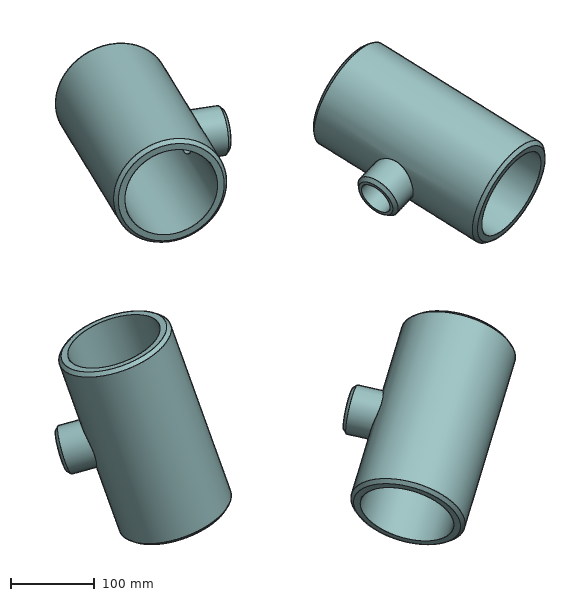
import cadquery as cq

run_length = 248.0
run_diameter = 141.3
run_bore = 115.8
branch_diameter = 60.5
branch_wall = 8.7
branch_reach = 104.5
bevel = 4.5

branch_bore = branch_diameter - 2 * branch_wall


def run_cylinder(diameter):
    """Cylinder along X, centred on the origin."""
    return cq.Workplane("YZ").circle(diameter / 2).extrude(run_length / 2, both=True)


def branch_cylinder(diameter):
    """Cylinder from the run axis out to the branch end face."""
    return cq.Workplane("XZ").circle(diameter / 2).extrude(-branch_reach)


run = run_cylinder(run_diameter).faces("<X or >X").chamfer(bevel)
branch = branch_cylinder(branch_diameter).faces(">Y").chamfer(bevel)

result = run.union(branch).cut(run_cylinder(run_bore)).cut(branch_cylinder(branch_bore))